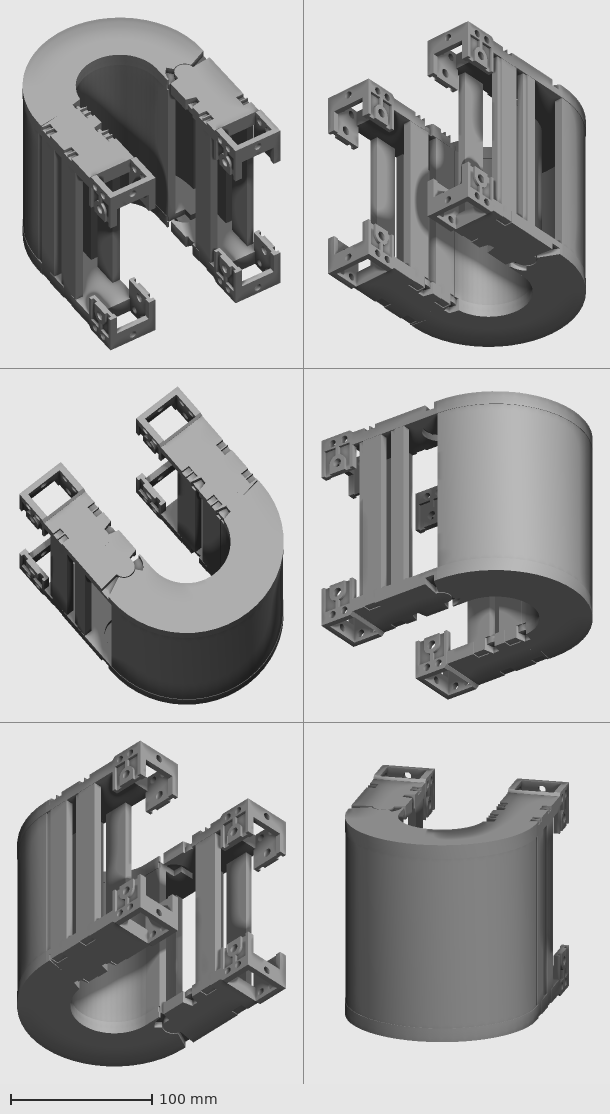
import cadquery as cq
import math


overall_length = 171.0
outer_radius = 68.83
inner_radius = 31.2
bracket_overhang = 0.2
plate_top = 72.8
plate_thickness = 10.1
bracket_top = 75.2

near_hinges = (0.9, 28.7)
far_hinges = (13.3, 41.4)
hinge_offset = 46.2
knuckle_radius = 7.5
lug_radius = 13.7
seam_opening = 0.9
bend_socket_radius = 8.2
bend_wedge_x = 11.5
bend_seam_x = 3.5
bend_notch_start_x = 6.5
bend_notch_end_x = 10.6
bend_far_end = 13.7

wall_thickness = 6.3
bend_wall_recess = 0.3
cover_recess = 0.2
cover_length = 19.5
tongue_length = 3.6
tongue_recess = 0.9
far_link_cover_length = 11.8
far_cover_offset = 27.7

hook_start = 4.6
hook_width = 4.5
hook_gap = 0.9
hook_depth = 2.9
foot_lift = 0.7

bracket_length = 27.5
bracket_height = 30.0
near_bracket_x = 66.3
bracket_wall = 4.6
bracket_end_wall = 4.3
bracket_chamfer = 2.2
lip_length = 1.9
end_notch_rise = 16.0
end_notch_margin = 5.6
pocket_depth = 2.0
pocket_start = 2.4
pocket_end = 24.8
pocket_rise = 20.2
pad_radius = 6.7
neck_width = 2.7
pivot_diameter = 6.7
pivot_x = 13.5
pivot_rise = 7.4
screw_diameter = 5.6
screw_xs = (7.4, 17.6)
screw_rise = 24.3

plate_bottom = plate_top - plate_thickness
plate_middle = plate_top - plate_thickness / 2
bracket_width = outer_radius - inner_radius + 2 * bracket_overhang
run_middle = (outer_radius + inner_radius) / 2
hook_span = 2 * hook_width + hook_gap
far_bracket_x = overall_length - outer_radius - bracket_length
reach = 102.6


def box(x0, x1, y0, y1, z0, z1):
    """Axis-aligned block between two opposite corners."""
    return cq.Workplane("XY").box(x1 - x0, y1 - y0, z1 - z0, centered=False).translate((x0, y0, z0))


def both_plates(top_shape):
    """The shape for the top plate together with its mirror image for the bottom plate."""
    return top_shape.add(top_shape.mirror("XY")).combine()


def opposite(shape):
    """Half turn about Z, which carries the near run onto the far run."""
    return shape.rotate((0, 0, 0), (0, 0, 1), 180)


hinge_y = -hinge_offset
margin = 1.7
outer_limit = -outer_radius - margin
inner_limit = -inner_radius + margin
seam_x = 0.9
seam_top = (seam_x, -math.sqrt(knuckle_radius**2 - seam_x**2))
seam_slope = 0.13
notch_slope = 0.24
knuckle_flank = 2.9
socket_flank = 2.2
socket_flank_y = math.sqrt(knuckle_radius**2 - socket_flank**2)


def seam_end(hinge_x):
    """Point where the straight seam leaves the outer edge of the run."""
    drop = hinge_y + seam_top[1] - outer_limit
    return hinge_x + seam_top[0] + seam_slope * drop, outer_limit


def notch_corner(hinge_x, offset, start_y, direction):
    """Point where a notch flank leaves the inner edge of the run."""
    rise = inner_limit - hinge_y - start_y
    return hinge_x + direction * (offset + notch_slope * rise), inner_limit


def layer(outline, bottom, top):
    """Prism of a closed sketch between two heights."""
    return outline.close().extrude(top - bottom).translate((0, 0, bottom))


def lug(hinge_x):
    """Round lug in the lower half of a plate."""
    disc = cq.Workplane("XY").center(hinge_x, hinge_y).circle(lug_radius)
    return disc.extrude(plate_middle - plate_bottom).translate((0, 0, plate_bottom))


def notch(hinge_x):
    """Tapered notch in the inner edge, through the plate but leaving the lug whole."""
    outline = (
        cq.Workplane("XY")
        .moveTo(hinge_x - knuckle_flank, hinge_y + knuckle_radius)
        .lineTo(hinge_x + socket_flank, hinge_y + knuckle_radius)
        .lineTo(*notch_corner(hinge_x, socket_flank, socket_flank_y, 1))
        .lineTo(*notch_corner(hinge_x, knuckle_flank, knuckle_radius, -1))
    )
    return layer(outline, plate_bottom, plate_top).cut(lug(hinge_x))


def lower_side(hinge_x, end_x):
    """Lower half of the plate on one side of the seam, out to end_x."""
    outline = (
        cq.Workplane("XY")
        .moveTo(*seam_end(hinge_x))
        .lineTo(hinge_x + seam_top[0], hinge_y + seam_top[1])
        .lineTo(hinge_x + seam_top[0], inner_limit)
        .lineTo(end_x, inner_limit)
        .lineTo(end_x, outer_limit)
    )
    return layer(outline, plate_bottom, plate_middle)


def past_knuckle(hinge_x):
    """Everything that a body ending in a knuckle must not fill."""
    end_x = hinge_x + reach
    outline = (
        cq.Workplane("XY")
        .moveTo(*seam_end(hinge_x))
        .lineTo(hinge_x + seam_top[0], hinge_y + seam_top[1])
        .threePointArc((hinge_x + knuckle_radius, hinge_y), (hinge_x, hinge_y + knuckle_radius))
        .lineTo(hinge_x - knuckle_flank, hinge_y + knuckle_radius)
        .lineTo(*notch_corner(hinge_x, knuckle_flank, knuckle_radius, -1))
        .lineTo(end_x, inner_limit)
        .lineTo(end_x, outer_limit)
    )
    upper = layer(outline, plate_middle, plate_top)
    lower = lower_side(hinge_x, end_x).union(lug(hinge_x))
    return both_plates(upper.union(lower).union(notch(hinge_x)))


def before_socket(hinge_x):
    """Everything that a body starting with a socket must not fill."""
    end_x = hinge_x - reach
    flank_start = (hinge_x + socket_flank, hinge_y + socket_flank_y)
    outline = (
        cq.Workplane("XY")
        .moveTo(*seam_end(hinge_x))
        .lineTo(hinge_x + seam_top[0], hinge_y + seam_top[1])
        .threePointArc((hinge_x + knuckle_radius, hinge_y), flank_start)
        .lineTo(*notch_corner(hinge_x, socket_flank, socket_flank_y, 1))
        .lineTo(end_x, inner_limit)
        .lineTo(end_x, outer_limit)
    )
    upper = layer(outline, plate_middle, plate_top)
    lower = lower_side(hinge_x, end_x).cut(lug(hinge_x))
    return both_plates(upper.union(lower).union(notch(hinge_x)))


def run_plates(x0, x1):
    """Top and bottom plate of a straight run."""
    return both_plates(box(x0, x1, -outer_radius, -inner_radius, plate_bottom, plate_top))


def mirrored_to_inner_edge(outer_shape):
    """The shape at the outer edge of the run plus its mirror image at the inner edge."""
    return outer_shape.add(outer_shape.mirror("XZ", (0, -run_middle, 0))).combine()


def outer_wall(socket_x, length):
    """Wall between the plates at the outer edge, with a set-back tongue on the socket side."""
    face_y = -outer_radius + cover_recess
    back_y = -outer_radius + wall_thickness
    wall_x = socket_x + tongue_length
    wall = box(wall_x, socket_x + length, face_y, back_y, -plate_bottom, plate_bottom)
    tongue = box(socket_x, wall_x, face_y + tongue_recess, back_y, -plate_bottom, plate_bottom)
    return wall.union(tongue)


def inner_wall(socket_x, length):
    """Plain wall between the plates at the inner edge."""
    face_y = -inner_radius - cover_recess
    back_y = -inner_radius - wall_thickness
    return box(socket_x, socket_x + length, back_y, face_y, -plate_bottom, plate_bottom)


def hook_pockets(socket_x):
    """Pairs of small pockets in the top plate where the walls hook in."""
    pockets = cq.Workplane("XY")
    for index in range(2):
        x0 = socket_x + hook_start + index * (hook_width + hook_gap)
        y1 = -outer_radius + wall_thickness
        pockets.add(box(x0, x0 + hook_width, -outer_radius, y1, plate_top - hook_depth, plate_top))
    return mirrored_to_inner_edge(pockets.combine())


def foot_clearance(socket_x):
    """Material missing around the wall feet that reach down through the bottom plate."""
    x0 = socket_x + hook_start
    x1 = x0 + hook_span
    edge = box(x0, x1, -outer_radius, -outer_radius + cover_recess, -plate_top, -plate_bottom)
    y1 = -outer_radius + wall_thickness
    underside = box(x0, x1, -outer_radius, y1, -plate_top, -plate_top + foot_lift)
    return mirrored_to_inner_edge(edge.union(underside))


def covered(plates, socket_x):
    """Plates completed with walls, hook pockets and feet."""
    body = plates.union(outer_wall(socket_x, cover_length))
    body = body.union(inner_wall(socket_x, cover_length))
    return body.cut(hook_pockets(socket_x)).cut(foot_clearance(socket_x))


def side_pocket(x0, face_y, inward):
    """Recess in a bracket's side face around a raised pivot pad and its neck."""
    z0 = bracket_top - bracket_height
    back_y = face_y + inward * pocket_depth
    y0, y1 = sorted((face_y, back_y))
    pad_x = x0 + pivot_x
    pad_z = z0 + pivot_rise
    recess = box(x0 + pocket_start, x0 + pocket_end, y0, y1, z0, z0 + pocket_rise)
    pad = cq.Workplane("XZ", origin=(pad_x, y1, pad_z)).circle(pad_radius).extrude(pocket_depth)
    pad_base = box(pad_x - pad_radius, pad_x + pad_radius, y0, y1, z0, pad_z)
    neck = box(pad_x - neck_width / 2, pad_x + neck_width / 2, y0, y1, pad_z, z0 + pocket_rise)
    return recess.cut(pad).cut(pad_base).cut(neck)


def bracket(x0, y0):
    """Top mounting bracket: an open frame with drilled side walls and a notched end wall."""
    x1 = x0 + bracket_length
    y1 = y0 + bracket_width
    z0 = bracket_top - bracket_height
    inner_y0 = y0 + bracket_wall
    inner_y1 = y1 - bracket_wall
    frame = box(x0, x1, y0, y1, z0, bracket_top).edges("<X and >Z").chamfer(bracket_chamfer)
    frame = frame.cut(box(x0 + lip_length, x1 - bracket_end_wall, inner_y0, inner_y1, z0, bracket_top))
    frame = frame.cut(box(x0, x0 + lip_length, inner_y0, inner_y1, z0, plate_bottom))
    notch_y0 = y0 + end_notch_margin
    notch_y1 = y1 - end_notch_margin
    frame = frame.cut(box(x1 - bracket_end_wall, x1, notch_y0, notch_y1, z0, z0 + end_notch_rise))
    frame = frame.cut(side_pocket(x0, y0, 1)).cut(side_pocket(x0, y1, -1))

    drills = [(screw_x, screw_rise, screw_diameter) for screw_x in screw_xs]
    drills.append((pivot_x, pivot_rise, pivot_diameter))
    for hole_x, hole_rise, diameter in drills:
        hole = cq.Workplane("XZ", origin=(x0 + hole_x, y1, z0 + hole_rise)).circle(diameter / 2)
        frame = frame.cut(hole.extrude(bracket_width))
    end_hole = cq.Workplane("YZ", origin=(x1 - bracket_end_wall, y0 + bracket_width / 2, z0 + screw_rise))
    return frame.cut(end_hole.circle(screw_diameter / 2).extrude(bracket_end_wall))


def half_ring(radius_out, radius_in, z0, z1):
    """Half of a ring on the -X side of the origin."""
    ring = cq.Workplane("XY").circle(radius_out).circle(radius_in).extrude(z1 - z0).translate((0, 0, z0))
    return ring.intersect(box(-radius_out, 0, -radius_out, radius_out, z0, z1))


def point_on_circle(x, radius, side):
    """Point at offset x on a circle about the hinge, on its outer (-1) or inner (1) side."""
    return x, side * math.sqrt(radius**2 - x**2)


def bend_socket_clearance():
    """Everything past the opened-up socket of the bend, on the near run before its half turn."""
    hinge_x = -far_hinges[0]
    end_x = hinge_x - reach
    end_y = hinge_y + lug_radius
    seam_start = point_on_circle(bend_seam_x, bend_socket_radius, -1)
    notch_start = point_on_circle(bend_notch_start_x, bend_socket_radius, 1)
    notch_end = point_on_circle(bend_notch_end_x, lug_radius, 1)
    flank_start = (hinge_x + notch_start[0], hinge_y + notch_start[1])
    arc_middle = lug_radius * math.cos(math.pi / 4)
    outline = (
        cq.Workplane("XY")
        .moveTo(hinge_x + bend_wedge_x, outer_limit)
        .lineTo(hinge_x + seam_start[0], hinge_y + seam_start[1])
        .threePointArc((hinge_x + bend_socket_radius, hinge_y), flank_start)
        .lineTo(hinge_x + notch_end[0], hinge_y + notch_end[1])
        .threePointArc((hinge_x + arc_middle, hinge_y + arc_middle), (hinge_x, end_y))
        .lineTo(end_x, end_y)
        .lineTo(end_x, outer_limit)
    )
    upper = layer(outline, plate_middle, plate_top)
    lower = lower_side(hinge_x, end_x).cut(lug(hinge_x))
    past_leg = box(end_x, -bend_far_end, hinge_y, inner_limit, plate_bottom, plate_top)
    return both_plates(upper.union(lower).union(past_leg))


def make_bend():
    plate = half_ring(outer_radius, inner_radius, plate_bottom, plate_top)
    plates = both_plates(plate)
    straight_length = near_hinges[0] + knuckle_radius
    near_leg = run_plates(0, straight_length)
    far_leg = opposite(run_plates(-far_hinges[0] - knuckle_radius, 0))
    body = plates.union(near_leg).union(far_leg)
    body = body.cut(past_knuckle(near_hinges[0])).cut(opposite(bend_socket_clearance()))

    outer_face = outer_radius - bend_wall_recess
    inner_face = inner_radius + bend_wall_recess
    outer_shell = half_ring(outer_face, outer_face - wall_thickness, -plate_bottom, plate_bottom)
    inner_shell = half_ring(inner_face + wall_thickness, inner_face, -plate_bottom, plate_bottom)
    inner_leg = box(0, bend_far_end, inner_face, inner_face + wall_thickness, -plate_bottom, plate_bottom)
    return body.union(outer_shell).union(inner_shell).union(inner_leg)


def seam_gap(hinge_x):
    """Thin wedge where a slightly turned link opens the upper half of the seam."""
    end_x, end_y = seam_end(hinge_x)
    outline = (
        cq.Workplane("XY")
        .moveTo(hinge_x + seam_top[0], hinge_y + seam_top[1])
        .lineTo(end_x, end_y)
        .lineTo(end_x + seam_opening, end_y)
    )
    return both_plates(layer(outline, plate_middle, plate_top))


def make_near_link():
    start, end = near_hinges
    plates = run_plates(start - lug_radius, end + lug_radius)
    plates = plates.cut(before_socket(start)).cut(past_knuckle(end)).cut(seam_gap(start))
    return covered(plates, start)


def make_near_end():
    start = near_hinges[1]
    plates = run_plates(start - lug_radius, near_bracket_x).cut(before_socket(start))
    brackets = both_plates(bracket(near_bracket_x, -outer_radius - bracket_overhang))
    return covered(plates, start).union(brackets)


def make_far_link():
    start, end = -far_hinges[1], -far_hinges[0]
    plates = run_plates(start - lug_radius, end + lug_radius)
    plates = plates.cut(before_socket(start)).cut(past_knuckle(end))
    return opposite(plates.union(outer_wall(start, far_link_cover_length)))


def make_far_end():
    knuckle_x = -far_hinges[1]
    cover_x = knuckle_x - far_cover_offset
    plates = run_plates(-far_bracket_x, knuckle_x + lug_radius).cut(past_knuckle(knuckle_x))
    brackets = both_plates(bracket(far_bracket_x, inner_radius - bracket_overhang))
    return opposite(covered(plates, cover_x)).union(brackets)


bend = make_bend()
near_link = make_near_link()
near_end = make_near_end()
far_link = make_far_link()
far_end = make_far_end()

result = cq.Compound.makeCompound(
    [body.solids().val() for body in (bend, near_link, near_end, far_link, far_end)]
)